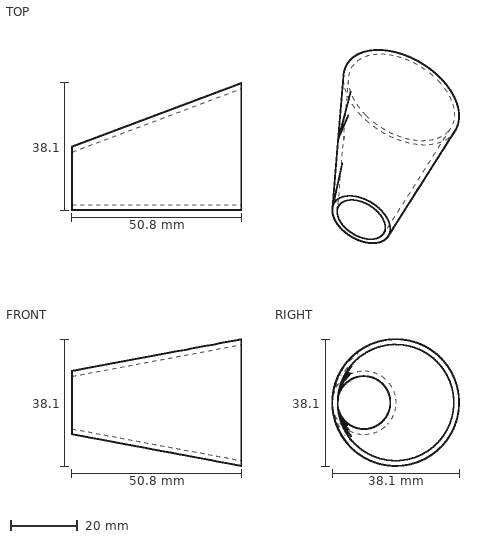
import cadquery as cq

length = 50.8
large_diameter = 38.1
small_diameter = large_diameter / 2
wall = 1.65

large_radius = large_diameter / 2
small_radius = small_diameter / 2

small_end_offset = small_radius - large_radius


def oblique_cone(inset):
    """Taper between the two end circles, each reduced in radius by inset."""
    return (
        cq.Workplane("YZ")
        .center(small_end_offset, 0)
        .circle(small_radius - inset)
        .workplane(offset=length)
        .center(-small_end_offset, 0)
        .circle(large_radius - inset)
        .loft(ruled=True, combine=True)
    )


outer_body = oblique_cone(0)
bore = oblique_cone(wall)
result = outer_body.cut(bore)